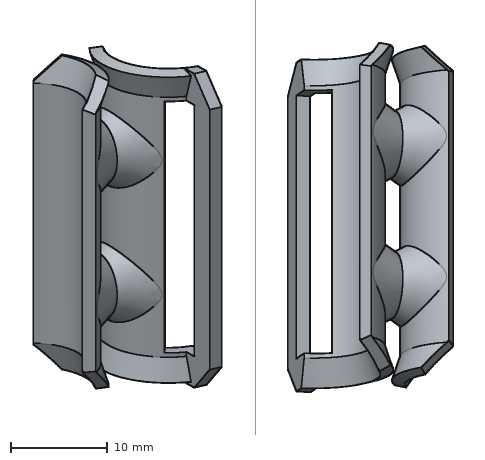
import cadquery as cq
import math

length = 35.0
half_length = length / 2
inner_radius = 5.85
thickness = 1.5
outer_radius = inner_radius + thickness
crest_gap = 1.15
axis_y = crest_gap + outer_radius
half_width = 6.0
edge_angle = math.asin(half_width / outer_radius)

flare_height = 3.0
flare_slope = 1 / 3
flare_angle = math.atan(flare_slope)
flare_start = half_length - flare_height
flared_radius = inner_radius + flare_height * flare_slope

corner_angle = math.radians(40.5)
cutter_size = 14.0

plate_end_x = 11.5
plate_top_y = 7.8
plate_bottom_y = plate_top_y - thickness
plate_chamfer = flare_height
slot_end_x = plate_end_x - plate_chamfer
slot_half_length = 14.0

post_z = 7.5
waist_radius = 3.5
post_height = 4.02
post_flare = math.radians(30)
post_base_radius = waist_radius + post_height * math.tan(post_flare)

reach = 21.0


def revolve_about_axis(points):
    """Revolve a closed (radius, Z) outline about the shell's bending axis."""
    profile = cq.Workplane("XZ").polyline(points).close()
    return profile.revolve(360, (0, 0, 0), (0, 1, 0)).translate((0, axis_y, 0))


def flared_ring():
    wall = thickness * math.cos(flare_angle)
    rim_radius = flared_radius + wall * math.cos(flare_angle)
    rim_z = half_length - wall * math.sin(flare_angle)
    return revolve_about_axis([
        (inner_radius, -flare_start),
        (flared_radius, -half_length),
        (rim_radius, -rim_z),
        (outer_radius, -flare_start),
        (outer_radius, flare_start),
        (rim_radius, rim_z),
        (flared_radius, half_length),
        (inner_radius, flare_start),
    ])


def flared_bore():
    return revolve_about_axis([
        (0, -half_length),
        (flared_radius, -half_length),
        (inner_radius, -flare_start),
        (inner_radius, flare_start),
        (flared_radius, half_length),
        (0, half_length),
    ])


def beyond_edge(side, far_x, height):
    """Region past the radial edge of the shell, on the -X (side -1) or +X (side 1) side."""
    edge_y = axis_y - reach * math.cos(edge_angle)
    edge_x = reach * math.sin(edge_angle)
    outline = [
        (0, axis_y),
        (side * edge_x, edge_y),
        (side * edge_x, axis_y + reach),
        (0, axis_y + reach),
    ]
    wedge = cq.Workplane("XY").polyline(outline).close().extrude(height / 2, both=True)
    limit = cq.Workplane("XY").box(2 * far_x, 4 * reach, height)
    return wedge.intersect(limit)


def trim_corners(shell, side):
    """Chamfer the top and bottom corners at one straight edge of a shell."""
    middle_radius = (inner_radius + outer_radius) / 2
    corner_x = side * middle_radius * math.sin(edge_angle)
    corner_y = axis_y - middle_radius * math.cos(edge_angle)
    for end in (-1, 1):
        plane = cq.Plane(
            origin=(corner_x, corner_y, end * flare_start),
            xDir=(-math.sin(corner_angle), side * math.cos(corner_angle), 0),
            normal=(side * math.cos(corner_angle), math.sin(corner_angle), end),
        )
        cutter = cq.Workplane(plane).rect(cutter_size, cutter_size).extrude(cutter_size)
        shell = shell.cut(cutter)
    return shell


def add_posts(shell):
    """Add the half posts that widen from the meeting plane into the shell."""
    for z in (-post_z, post_z):
        cone = cq.Solid.makeCone(
            waist_radius, post_base_radius, post_height, cq.Vector(0, 0, z), cq.Vector(0, 1, 0)
        )
        shell = shell.union(cq.Workplane(cone).cut(flared_bore()))
    return shell


def side_plate():
    outline = [
        (0, -half_length),
        (slot_end_x, -half_length),
        (plate_end_x, plate_chamfer - half_length),
        (plate_end_x, half_length - plate_chamfer),
        (slot_end_x, half_length),
        (0, half_length),
    ]
    plate = cq.Workplane("XZ").polyline(outline).close().extrude(-thickness)
    return plate.translate((0, plate_bottom_y, 0)).cut(flared_bore())


def make_plain_clip():
    """Symmetric clip, turned so that its crest faces +Y."""
    shell = flared_ring()
    for side in (-1, 1):
        shell = shell.cut(beyond_edge(side, reach, length))
        shell = trim_corners(shell, side)
    return add_posts(shell).mirror("XZ")


def make_plate_clip():
    """Clip whose +X edge carries on into the slotted side plate."""
    shell = flared_ring().cut(beyond_edge(-1, reach, length))
    above_plate = cq.Workplane("XY").box(2 * reach, reach, length)
    shell = shell.cut(above_plate.translate((0, plate_top_y + reach / 2, 0)))
    shell = trim_corners(shell, -1)
    shell = shell.union(side_plate())
    shell = shell.cut(beyond_edge(1, slot_end_x, 2 * slot_half_length))
    return add_posts(shell)


plain_clip = make_plain_clip()
plate_clip = make_plate_clip()

result = cq.Compound.makeCompound([*plain_clip.solids().vals(), *plate_clip.solids().vals()])